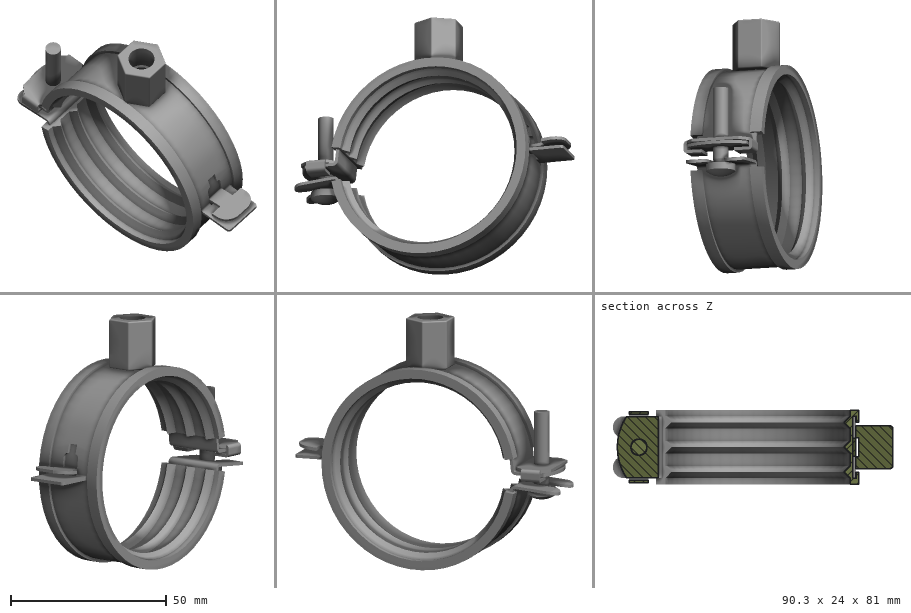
import cadquery as cq
import math


sheet = 1.0
strap_outer_r = 32.0
strap_inner_r = strap_outer_r - sheet
strap_width = 20.0
bend_inner_r = 0.6
bend_outer_r = bend_inner_r + sheet

liner_width = 24.0
rim_outer_r = strap_outer_r + sheet
rim_width = 4.0
liner_valley_r = strap_inner_r - sheet
rib_height = 2.0
liner_crest_r = liner_valley_r - rib_height
rib_count = 3
liner_end_angle = 10.1

flange_top = 1.1
flange_bottom = flange_top - sheet
closing_tab_end = -45.1
closing_tab_end_r = 18.1
hinge_end = 43.9
hinge_width = 13.9
hinge_corner_r = 1.1
slot_height = 7.9
slot_top = 10.8
slot_narrow_width = 3.25
slot_corner_r = 1.4
slot_outer_x = 32.8

neck_width = 6.0
hook_end = 43.7
hook_head_start = 36.6
hook_corner_r = 5.0
hook_angle = 6.0
hook_bottom = 2.3
fork_angle = 5.0
fork_top = -3.4
fork_tip_angle = 15.0
fork_tip_bend_x = -44.55
fork_end = -46.45
fork_slot_width = 5.8
finger_tip_r = 3.5

screw_x = -38.05
shank_d = 5.0
shank_top = 19.5
neck_d = 4.7
taper_top = -3.9
neck_top = -4.6
head_d = 9.5
head_top = -5.5
head_edge = -7.7
head_bottom = -9.3

clip_top = 2.35
clip_length = 11.9
clip_width = 23.1
clip_arm_length = 6.3
clip_plate_edge_y = 10.4
clip_corner_y = 7.95
clip_bottom = -1.7
clip_lip_inner_y = 5.5
clip_bend_r = 1.2

nut_flats = 13.9
nut_top = 48.0
nut_edge_r = 0.5
nut_end_r = 0.45
nut_upper_bore_d = 8.4
nut_lower_bore_d = 6.7
nut_upper_bore_depth = 9.0


def on_circle(radius, z):
    """X distance from the pipe axis of a circle of the given radius at height z."""
    return math.sqrt(radius ** 2 - z ** 2)


def extrude_along_y(outline, width):
    """Extrude an outline drawn in the XZ plane symmetrically about Y = 0."""
    return outline.extrude(width / 2, both=True)


def plan_prism(outline):
    """Extrude a plan outline far enough up and down to trim any strap end."""
    return outline.extrude(2 * rim_outer_r, both=True)


def round_bend(strap, x, z, radius):
    """Round the transverse sheet edge that passes through (x, z)."""
    return strap.edges(cq.selectors.NearestToPointSelector((x, 0, z))).fillet(radius)


def make_liner():
    half = liner_width / 2
    lip_y = half - rim_width
    groove_y = strap_width / 2
    pitch = liner_width / rib_count
    points = [
        (liner_valley_r, half), (rim_outer_r, half), (rim_outer_r, lip_y), (strap_outer_r, lip_y),
        (strap_outer_r, groove_y), (strap_inner_r, groove_y), (strap_inner_r, -groove_y),
        (strap_outer_r, -groove_y), (strap_outer_r, -lip_y), (rim_outer_r, -lip_y), (rim_outer_r, -half),
        (liner_valley_r, -half),
    ]
    for rib in range(rib_count):
        rib_y = (rib - (rib_count - 1) / 2) * pitch
        points.append((liner_valley_r, rib_y - rib_height))
        points.append((liner_crest_r, rib_y))
        points.append((liner_valley_r, rib_y + rib_height))
    profile = cq.Workplane("XY").polyline(points).close()
    ring = profile.revolve(360 - 2 * liner_end_angle, (0, 0, 0), (0, 1, 0))
    return ring.rotate((0, 0, 0), (0, 1, 0), liner_end_angle - 180)


def make_upper_strap():
    inner_x = on_circle(strap_inner_r, flange_bottom)
    outer_x = on_circle(strap_outer_r, flange_top)
    outline = (
        cq.Workplane("XZ")
        .moveTo(closing_tab_end, flange_bottom)
        .lineTo(-inner_x, flange_bottom)
        .threePointArc((0, strap_inner_r), (inner_x, flange_bottom))
        .lineTo(hinge_end, flange_bottom)
        .lineTo(hinge_end, flange_top)
        .lineTo(outer_x, flange_top)
        .threePointArc((0, strap_outer_r), (-outer_x, flange_top))
        .lineTo(closing_tab_end, flange_top)
        .close()
    )
    strap = extrude_along_y(outline, strap_width)
    strap = round_bend(strap, -inner_x, flange_bottom, bend_outer_r)
    strap = round_bend(strap, -outer_x, flange_top, bend_inner_r)
    strap = round_bend(strap, inner_x, flange_bottom, bend_outer_r)

    half = strap_width / 2
    arch_depth = closing_tab_end_r - on_circle(closing_tab_end_r, half)
    band_plan = plan_prism(
        cq.Workplane("XY")
        .moveTo(closing_tab_end + arch_depth, -half)
        .lineTo(outer_x, -half)
        .lineTo(outer_x, half)
        .lineTo(closing_tab_end + arch_depth, half)
        .threePointArc((closing_tab_end, 0), (closing_tab_end + arch_depth, -half))
        .close()
    )
    hinge_plan = plan_prism(
        cq.Workplane("XY").center(hinge_end / 2, 0).rect(hinge_end, hinge_width)
    ).edges("|Z and >X").fillet(hinge_corner_r)
    strap = strap.intersect(band_plan.union(hinge_plan))
    strap = round_bend(strap, outer_x, flange_top, bend_inner_r)

    slot_start = liner_valley_r - sheet
    slot_depth = slot_outer_x - slot_start
    wide_slot = cq.Workplane("XY").box(slot_depth, neck_width, slot_height, (False, True, False))
    wide_slot = wide_slot.edges("|X and >Z").fillet(slot_corner_r)
    narrow_slot = cq.Workplane("XY").box(slot_depth, slot_narrow_width, slot_top, (False, True, False))
    slot = wide_slot.union(narrow_slot).translate((slot_start, 0, 0))
    return strap.cut(slot).cut(make_screw_hole())


def make_lower_strap():
    fork_slope = math.tan(math.radians(fork_angle))
    tip_slope = math.tan(math.radians(fork_tip_angle))
    inner_x = -on_circle(strap_inner_r, fork_top)
    outer_x = -on_circle(strap_outer_r, fork_top - sheet)
    tip_bend_z = fork_top + (fork_tip_bend_x - inner_x) * fork_slope
    tip_z = tip_bend_z + (fork_end - fork_tip_bend_x) * tip_slope
    hook_rise = (hook_end - strap_inner_r) * math.tan(math.radians(hook_angle))
    hook_inner_x = on_circle(strap_inner_r, hook_bottom + sheet)
    hook_outer_x = on_circle(strap_outer_r, hook_bottom)
    outline = (
        cq.Workplane("XZ")
        .moveTo(fork_end, tip_z)
        .lineTo(fork_tip_bend_x, tip_bend_z)
        .lineTo(inner_x, fork_top)
        .threePointArc((0, -strap_inner_r), (hook_inner_x, hook_bottom + sheet))
        .lineTo(hook_end, hook_bottom + sheet + hook_rise)
        .lineTo(hook_end, hook_bottom + hook_rise)
        .lineTo(hook_outer_x, hook_bottom)
        .threePointArc((0, -strap_outer_r), (outer_x, fork_top - sheet))
        .lineTo(fork_tip_bend_x, tip_bend_z - sheet)
        .lineTo(fork_end, tip_z - sheet)
        .close()
    )
    strap = extrude_along_y(outline, strap_width)
    strap = round_bend(strap, inner_x, fork_top, bend_outer_r)
    strap = round_bend(strap, outer_x, fork_top - sheet, bend_inner_r)
    strap = round_bend(strap, hook_inner_x, hook_bottom + sheet, bend_outer_r)
    strap = round_bend(strap, hook_outer_x, hook_bottom, bend_inner_r)

    neck = cq.Workplane("XY").box(hook_end, neck_width, slot_height, (False, True, False))
    head = (
        cq.Workplane("XY")
        .box(hook_end - hook_head_start, hinge_width, slot_height, (False, True, False))
        .edges("|Z and >X")
        .fillet(hook_corner_r)
        .translate((hook_head_start, 0, 0))
    )
    band_space = cq.Workplane("XY").box(-2 * fork_end, strap_width, rim_outer_r, (True, True, False))
    band_space = band_space.translate((0, 0, -rim_outer_r))
    strap = strap.intersect(band_space.union(neck).union(head))

    finger_width = (strap_width - fork_slot_width) / 2
    finger_y = (strap_width + fork_slot_width) / 4
    band_length = hook_end - screw_x
    band = cq.Workplane("XY").center(screw_x + band_length / 2, 0).rect(band_length, strap_width)
    plan = plan_prism(band)
    for side in (-1, 1):
        finger = cq.Workplane("XY").center(screw_x, side * finger_y)
        finger = finger.rect(2 * (screw_x - fork_end), finger_width)
        plan = plan.union(plan_prism(finger).edges("|Z and <X").fillet(finger_tip_r))
    slot_end = plan_prism(cq.Workplane("XY").center(screw_x, 0).circle(fork_slot_width / 2))
    return strap.intersect(plan.cut(slot_end))


def make_screw_hole():
    return plan_prism(cq.Workplane("XY").center(screw_x, 0).circle(shank_d / 2))


def make_screw():
    head_r = head_d / 2
    dome_height = head_edge - head_bottom
    dome_r = (head_r ** 2 + dome_height ** 2) / (2 * dome_height)
    mid_x = head_r / 2
    mid_z = head_bottom + dome_r - on_circle(dome_r, mid_x)
    profile = (
        cq.Workplane("XZ")
        .moveTo(0, shank_top)
        .lineTo(shank_d / 2, shank_top)
        .lineTo(shank_d / 2, taper_top)
        .lineTo(neck_d / 2, neck_top)
        .lineTo(neck_d / 2, head_top)
        .lineTo(head_r, head_top)
        .lineTo(head_r, head_edge)
        .threePointArc((mid_x, mid_z), (0, head_bottom))
        .close()
    )
    return profile.revolve(360, (0, 0, 0), (0, 1, 0)).translate((screw_x, 0, 0))


def make_clip():
    half = clip_width / 2
    clip_height = clip_top - clip_bottom
    section = (
        cq.Workplane("YZ")
        .rect(clip_width, clip_height)
        .extrude(clip_length / 2, both=True)
        .edges("|X")
        .fillet(clip_bend_r)
    )
    inside = (
        cq.Workplane("YZ")
        .rect(clip_width - 2 * sheet, clip_height - 2 * sheet)
        .extrude(clip_length, both=True)
        .edges("|X")
        .fillet(clip_bend_r - sheet)
    )
    mouth_height = clip_height / 2
    mouth = cq.Workplane("XY").box(2 * clip_length, 2 * clip_lip_inner_y, mouth_height, (True, True, False))
    section = section.cut(inside).cut(mouth.translate((0, 0, -mouth_height)))
    section = section.translate((screw_x, 0, (clip_top + clip_bottom) / 2))

    half_length = clip_length / 2
    half_arm = clip_arm_length / 2
    quarter = [(half_length, clip_corner_y), (half_arm, clip_plate_edge_y), (half_arm, half)]
    right = quarter + [(-x, y) for x, y in reversed(quarter)]
    plate_plan = cq.Workplane("XY").polyline(right + [(-x, -y) for x, y in right]).close()
    plate_plan = plan_prism(plate_plan).translate((screw_x, 0, 0))
    arm_space = cq.Workplane("XY").box(clip_arm_length, clip_width, clip_height, (True, True, False))
    arm_space = arm_space.translate((screw_x, 0, clip_bottom))
    plate_space = cq.Workplane("XY").box(clip_length, clip_width, clip_bend_r, (True, True, False))
    plate_space = plate_space.translate((screw_x, 0, clip_top - clip_bend_r))
    clip = section.intersect(plate_space.intersect(plate_plan).union(arm_space))
    return clip.cut(make_screw_hole())


def make_nut():
    corner_d = nut_flats / math.cos(math.radians(30))
    height = nut_top - strap_outer_r
    nut = (
        cq.Workplane("XY")
        .polygon(6, corner_d)
        .extrude(height)
        .rotate((0, 0, 0), (0, 0, 1), 30)
        .edges("|Z")
        .fillet(nut_edge_r)
        .faces("<Z or >Z")
        .edges()
        .fillet(nut_end_r)
        .faces(">Z")
        .workplane(origin=(0, 0, height))
        .cboreHole(nut_lower_bore_d, nut_upper_bore_d, nut_upper_bore_depth)
    )
    return nut.translate((0, 0, strap_outer_r))


liner = make_liner()
upper_strap = make_upper_strap()
lower_strap = make_lower_strap()
screw = make_screw()
clip = make_clip()
nut = make_nut()

result = cq.Compound.makeCompound([
    liner.solids().val(),
    upper_strap.solids().val(),
    lower_strap.solids().val(),
    screw.solids().val(),
    clip.solids().val(),
    nut.solids().val(),
])